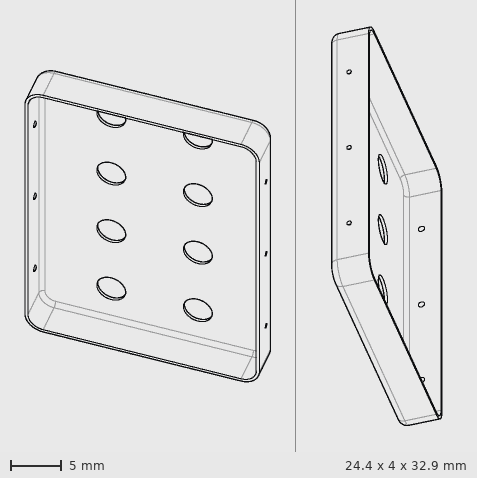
import cadquery as cq
import math

width = 24.4
depth = 4.0
height = 32.9
wall = 0.33
corner_radius = 1.9
floor_edge_radius = 0.8

hole_diameter = 3.0
hole_columns = 2
hole_rows = 4
hole_pitch_x = 9.0
hole_pitch_z = 8.0

dimples_per_side = 3
dimple_pitch = 10.0
dimple_radius = 0.23
dimple_depth = 0.2
bump_radius = 0.33
bump_rise = 0.13


def rounded_block(inset):
    """Block inset from the outer faces, open end at -Y, floor edges rounded."""
    return (
        cq.Workplane("XZ", origin=(0, -depth / 2, 0))
        .rect(width - 2 * inset, height - 2 * inset)
        .extrude(-(depth - inset))
        .edges("|Y")
        .fillet(corner_radius - inset)
        .faces(">Y")
        .edges()
        .fillet(floor_edge_radius - inset)
    )


def floor_holes():
    """Grid of cylinders crossing the floor."""
    return (
        cq.Workplane("XZ")
        .rarray(hole_pitch_x, hole_pitch_z, hole_columns, hole_rows)
        .circle(hole_diameter / 2)
        .extrude(-depth)
    )


def spherical_cap(radius, rise):
    """Cap revolved about X, its flat base on X = 0 and its tip at X = rise."""
    sphere_radius = (radius**2 + rise**2) / (2 * rise)
    half_angle = math.asin(radius / sphere_radius) / 2
    sphere_center = rise - sphere_radius
    arc_middle = (
        sphere_center + sphere_radius * math.cos(half_angle),
        sphere_radius * math.sin(half_angle),
    )
    return (
        cq.Workplane("XY")
        .moveTo(0, 0)
        .lineTo(rise, 0)
        .threePointArc(arc_middle, (0, radius))
        .close()
        .revolve(360, (0, 0, 0), (1, 0, 0))
    )


def left_wall_caps(radius, rise, wall_x):
    """Caps spaced along the left wall, rising inward from the plane X = wall_x."""
    caps = cq.Workplane("XY")
    for index in range(dimples_per_side):
        z = (index - (dimples_per_side - 1) / 2) * dimple_pitch
        caps = caps.add(spherical_cap(radius, rise).translate((wall_x, 0, z)))
    return caps.combine()


def on_both_sides(left_caps):
    """The left wall's caps together with their mirror images on the right wall."""
    return left_caps.union(left_caps.mirror("YZ"))


outer_face_x = -width / 2
inner_face_x = outer_face_x + wall
bumps = on_both_sides(left_wall_caps(bump_radius, bump_rise, inner_face_x))
hollows = on_both_sides(left_wall_caps(dimple_radius, dimple_depth, outer_face_x))

tray = rounded_block(0).cut(rounded_block(wall)).cut(floor_holes())
result = tray.union(bumps).cut(hollows)